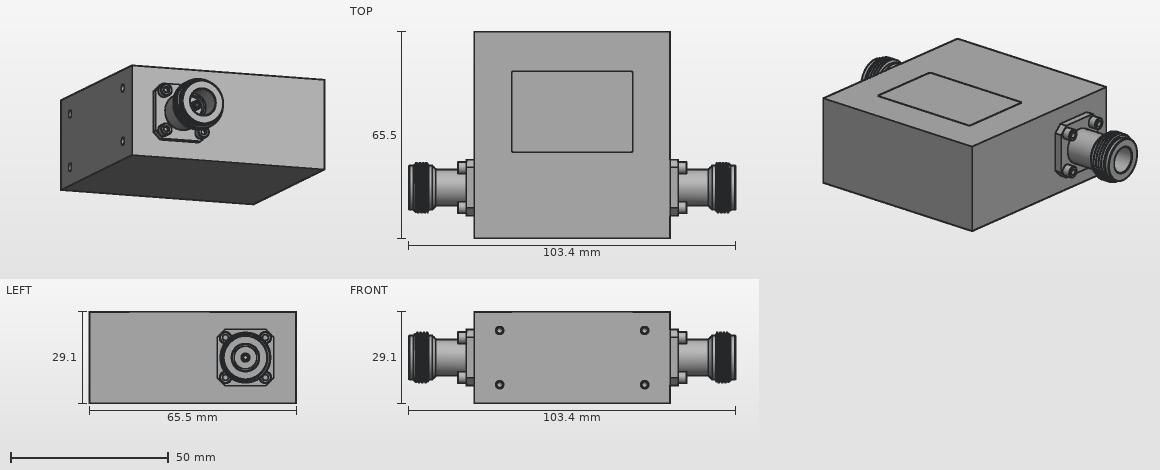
import cadquery as cq
import math

HOUSING_LENGTH = 62.1
HOUSING_WIDTH = 65.5
HOUSING_HEIGHT = 29.0

LABEL_LENGTH = 38.4
LABEL_WIDTH = 25.5
LABEL_THICKNESS = 0.1
LABEL_CORNER_RADIUS = 0.5
LABEL_CENTRE_Y = 7.3

MOUNT_HOLE_HALF_SPACING_X = 23.0
MOUNT_HOLE_HALF_SPACING_Z = 8.6
MOUNT_THREAD_RADIUS = 1.2
MOUNT_THREAD_DEPTH = 5.2
MOUNT_DRILL_RADIUS = 0.9
MOUNT_DRILL_DEPTH = 6.2
DRILL_TIP_ANGLE = 118.0

OVERALL_LENGTH = 103.4
CONNECTOR_LENGTH = (OVERALL_LENGTH - HOUSING_LENGTH) / 2
CONNECTOR_AXIS_TO_FRONT = 16.0
CONNECTOR_Y = CONNECTOR_AXIS_TO_FRONT - HOUSING_WIDTH / 2
CONNECTOR_Z = HOUSING_HEIGHT / 2

FLANGE_SIZE = 17.8
FLANGE_THICKNESS = 2.5
FLANGE_CHAMFER = 2.5

BARREL_RADIUS = 5.8
COLLAR_RADIUS = 7.0
COLLAR_LENGTH = 7.3
END_CHAMFER = 0.2

THREAD_RADIUS = 8.0
THREAD_PITCH = 1.0
THREAD_LEAD_IN = 1.4
THREAD_RUN_OUT = 6.3
THREAD_RUN_OUT_RAMP = 0.4
GROOVE_ROOT_RADIUS = 7.1
GROOVE_MOUTH_WIDTH = 0.8
GROOVE_OVERSHOOT = 0.1
GROOVE_RUN_PAST = 0.5

SOCKET_RADIUS = 4.2
SOCKET_MOUTH_CHAMFER = 0.2
SOCKET_DEPTH = 8.3
INNER_SOCKET_RADIUS = 3.6
INNER_SOCKET_DEPTH = 10.3
CONTACT_RADIUS = 1.3
CONTACT_TIP_CHAMFER = 0.3
CONTACT_RECESS = 5.2
CONTACT_HOLE_RADIUS = 0.7
CONTACT_HOLE_DEPTH = 4.1

SCREW_HALF_SPACING = 6.3
SCREW_HEAD_RADIUS = 1.9
SCREW_HEAD_HEIGHT = 2.8
SCREW_HEAD_CHAMFER = 0.2
SCREW_SOCKET_RADIUS = 0.9
SCREW_SOCKET_DEPTH = 1.5


def corner_points(half_x, half_y):
    return [(sx * half_x, sy * half_y) for sx in (-1, 1) for sy in (-1, 1)]


def make_housing():
    block = cq.Workplane("XY").rect(HOUSING_LENGTH, HOUSING_WIDTH).extrude(HOUSING_HEIGHT)
    label = (
        cq.Workplane("XY", origin=(0, LABEL_CENTRE_Y, HOUSING_HEIGHT))
        .rect(LABEL_LENGTH, LABEL_WIDTH)
        .extrude(LABEL_THICKNESS)
        .edges("|Z")
        .fillet(LABEL_CORNER_RADIUS)
    )
    return block.union(label)


def make_mount_hole():
    """Hole cutter running along +Y from Y = 0."""
    tip_length = MOUNT_DRILL_RADIUS / math.tan(math.radians(DRILL_TIP_ANGLE / 2))
    half_profile = [
        (0, 0),
        (MOUNT_THREAD_RADIUS, 0),
        (MOUNT_THREAD_RADIUS, MOUNT_THREAD_DEPTH),
        (MOUNT_DRILL_RADIUS, MOUNT_THREAD_DEPTH),
        (MOUNT_DRILL_RADIUS, MOUNT_DRILL_DEPTH),
        (0, MOUNT_DRILL_DEPTH + tip_length),
    ]
    return cq.Workplane("XY").polyline(half_profile).close().revolve(360, (0, 0), (0, 1))


def cut_mount_holes(body):
    for x, z in corner_points(MOUNT_HOLE_HALF_SPACING_X, MOUNT_HOLE_HALF_SPACING_Z):
        position = (x, -HOUSING_WIDTH / 2, HOUSING_HEIGHT / 2 + z)
        body = body.cut(make_mount_hole().translate(position))
    return body


def make_flange():
    return (
        cq.Workplane("XY")
        .rect(FLANGE_SIZE, FLANGE_SIZE)
        .extrude(FLANGE_THICKNESS)
        .edges("|Z")
        .chamfer(FLANGE_CHAMFER)
    )


def make_screw_heads():
    return (
        cq.Workplane("XY", origin=(0, 0, FLANGE_THICKNESS))
        .pushPoints(corner_points(SCREW_HALF_SPACING, SCREW_HALF_SPACING))
        .circle(SCREW_HEAD_RADIUS)
        .extrude(SCREW_HEAD_HEIGHT)
        .faces(">Z")
        .edges()
        .chamfer(SCREW_HEAD_CHAMFER)
    )


def cut_screw_sockets(connector):
    sockets = (
        cq.Workplane("XY", origin=(0, 0, FLANGE_THICKNESS + SCREW_HEAD_HEIGHT))
        .pushPoints(corner_points(SCREW_HALF_SPACING, SCREW_HALF_SPACING))
        .circle(SCREW_SOCKET_RADIUS)
        .extrude(-SCREW_SOCKET_DEPTH)
    )
    return connector.cut(sockets)


def make_barrel():
    """Solid of revolution about Z: barrel, cone, collar, thread blank and end collar."""
    end = CONNECTOR_LENGTH
    cone_length = COLLAR_RADIUS - BARREL_RADIUS
    lead_in_ramp = THREAD_RADIUS - COLLAR_RADIUS
    half_profile = [
        (0, 0),
        (BARREL_RADIUS, 0),
        (BARREL_RADIUS, end - COLLAR_LENGTH - cone_length),
        (COLLAR_RADIUS, end - COLLAR_LENGTH),
        (COLLAR_RADIUS, end - THREAD_RUN_OUT),
        (THREAD_RADIUS, end - THREAD_RUN_OUT + THREAD_RUN_OUT_RAMP),
        (THREAD_RADIUS, end - THREAD_LEAD_IN - lead_in_ramp),
        (COLLAR_RADIUS, end - THREAD_LEAD_IN),
        (COLLAR_RADIUS, end - END_CHAMFER),
        (COLLAR_RADIUS - END_CHAMFER, end),
        (0, end),
    ]
    return cq.Workplane("XZ").polyline(half_profile).close().revolve(360, (0, 0), (0, 1))


def make_thread_groove():
    """V-shaped helical cutter running a little past both ends of the threaded stretch."""
    start = CONNECTOR_LENGTH - THREAD_RUN_OUT - GROOVE_RUN_PAST
    length = THREAD_RUN_OUT - THREAD_LEAD_IN + 2 * GROOVE_RUN_PAST
    mouth_radius = THREAD_RADIUS + GROOVE_OVERSHOOT
    flank_slope = GROOVE_MOUTH_WIDTH / 2 / (THREAD_RADIUS - GROOVE_ROOT_RADIUS)
    mouth_half_width = flank_slope * (mouth_radius - GROOVE_ROOT_RADIUS)
    helix = cq.Wire.makeHelix(THREAD_PITCH, length, GROOVE_ROOT_RADIUS)
    return (
        cq.Workplane("XZ")
        .moveTo(GROOVE_ROOT_RADIUS, 0)
        .lineTo(mouth_radius, mouth_half_width)
        .lineTo(mouth_radius, -mouth_half_width)
        .close()
        .sweep(cq.Workplane(obj=helix), isFrenet=True)
        .translate((0, 0, start))
    )


def make_socket():
    """Cutter for the stepped socket, leaving the hollow centre contact in place."""
    mouth = cq.Workplane("XY", origin=(0, 0, CONNECTOR_LENGTH))
    socket = mouth.circle(SOCKET_RADIUS).extrude(-SOCKET_DEPTH)
    mouth_cone = (
        mouth.circle(SOCKET_RADIUS + SOCKET_MOUTH_CHAMFER)
        .workplane(offset=-SOCKET_MOUTH_CHAMFER)
        .circle(SOCKET_RADIUS)
        .loft()
    )
    inner_socket = mouth.circle(INNER_SOCKET_RADIUS).extrude(-INNER_SOCKET_DEPTH)
    contact_tip = mouth.workplane(offset=-CONTACT_RECESS)
    contact = (
        contact_tip.circle(CONTACT_RADIUS)
        .extrude(CONTACT_RECESS - INNER_SOCKET_DEPTH)
        .faces(">Z")
        .edges()
        .chamfer(CONTACT_TIP_CHAMFER)
    )
    contact_hole = contact_tip.circle(CONTACT_HOLE_RADIUS).extrude(-CONTACT_HOLE_DEPTH)
    return socket.union(mouth_cone).union(inner_socket).cut(contact).union(contact_hole)


def make_connector():
    """Connector along +Z with its mounting face at Z = 0."""
    barrel = make_barrel().cut(make_thread_groove()).cut(make_socket())
    return cut_screw_sockets(make_flange().union(barrel).union(make_screw_heads()))


def add_connectors(body):
    connector = (
        make_connector()
        .rotate((0, 0, 0), (0, 1, 0), 90)
        .translate((HOUSING_LENGTH / 2, 0, 0))
    )
    for turn in (0, 180):
        placed = connector.rotate((0, 0, 0), (0, 0, 1), turn)
        body = body.union(placed.translate((0, CONNECTOR_Y, CONNECTOR_Z)))
    return body


result = add_connectors(cut_mount_holes(make_housing()))